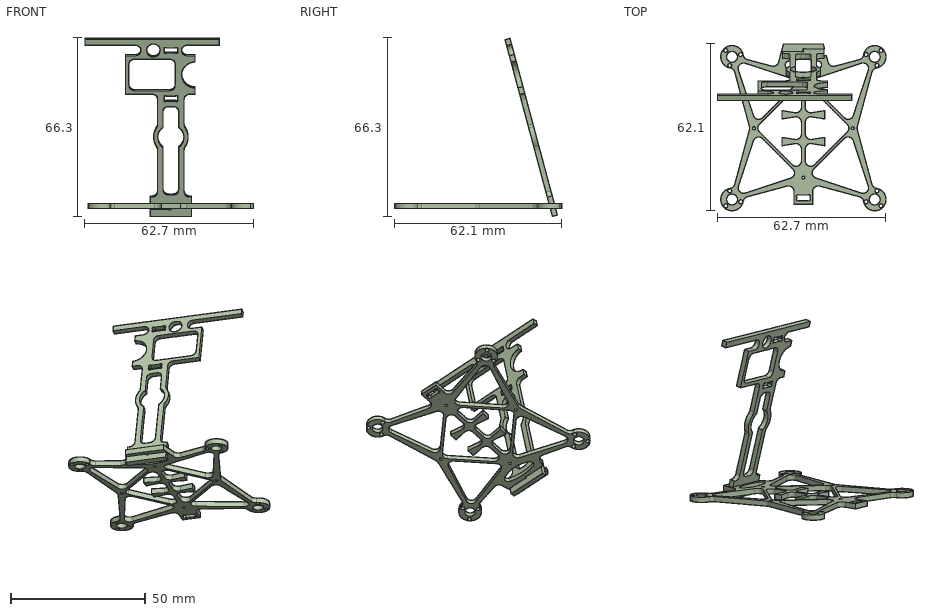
import cadquery as cq
import math

thickness = 2.0
round_radius = 2.0
ear_radius = 0.5
strap_length, strap_width = 4.9, 2.0
near = 0.05

motor_offset = 26.5
ring_radius = 4.25
motor_hole_diameter = 4.0
screw_hole_diameter = 1.4
screw_circle_radius = 3.3
waist = 19.95
arm_angle = math.radians(15)
arm_hole_slope = 0.33
arm_hole_waist = 17.0
strut_width = 1.0
strut_reach = 17.7
pin_hole_diameter = 1.0
pin_hole_offset = 18.35

spine_width = 1.5
bar_offset = 5.0
bar_half_length = 7.95
bar_end_half_height = 1.6
bar_root_half_height = 0.3

tail_half_width = 3.5
tail_end = -28.4
tail_strap_y = -25.9
tab_end = 31.35
tab_end_half_width = 7.4
lens_half_width = 8.3
lens_back, lens_tip, lens_front = 25.6, 23.95, 20.8
lens_tip_radius = 1.3

tilt_degrees = 15.0
mast_foot_y, mast_foot_z = 29.8, -2.4
mast_length = 68.1
foot_half_width, foot_height = 7.7, 7.4
column_half_width = 5.0
window_half_width, window_bottom, window_top = 2.9, 8.2, 42.2
bulge_height = 30.35
bulge_outer_radius, bulge_inner_radius = 6.4, 4.85
frame_left, frame_right = -16.9, 9.0
frame_bottom, frame_top = 47.0, 61.85
opening_left, opening_right = -15.6, 1.6
opening_height = 12.05
bite_radius = 5.0
neck_left, neck_right = -11.15, 4.0
crossbar_left, crossbar_right = -31.95, 18.05
round_hole_diameter, round_hole_x = 5.0, -6.5
lower_strap_height = 45.3

base_slot_front, base_slot_back = 27.45, 29.5
mast_slot_bottom, mast_slot_top = 2.65, 4.65
joint_reach = 13.25


def block(x0, x1, y0, y1, height=thickness):
    """Upright block between two corners, standing on Z = 0."""
    return cq.Workplane().box(x1 - x0, y1 - y0, height, centered=False).translate((x0, y0, 0))


def disc(x, y, radius):
    return cq.Workplane().center(x, y).circle(radius).extrude(thickness)


def prism(points):
    return cq.Workplane().polyline(points).close().extrude(thickness)


def round_corners(body, chosen=lambda corner: True):
    """Round the upright edges whose middle point passes the test."""
    corners = body.edges("|Z").filter(lambda edge: chosen(edge.Center()))
    return corners.fillet(round_radius)


def eared_slot(x0, x1, y0, y1):
    """Rectangular cutter with a relief circle passing through each corner."""
    inset = ear_radius / math.sqrt(2)
    slot = block(x0, x1, y0, y1)
    for x in (x0 + inset, x1 - inset):
        for y in (y0 + inset, y1 - inset):
            slot = slot.union(disc(x, y, ear_radius))
    return slot


def strap_slot(y):
    return eared_slot(-strap_length / 2, strap_length / 2, y - strap_width / 2, y + strap_width / 2)


def tilt(body):
    """Move the flat mast into its leaning place, rear face on the foot edge."""
    standing = body.rotate((0, 0, 0), (1, 0, 0), 90)
    leaning = standing.rotate((0, 0, 0), (1, 0, 0), tilt_degrees)
    return leaning.translate((0, mast_foot_y, mast_foot_z))


def base_outline():
    corner = waist / (1 - math.tan(arm_angle))
    star = prism([
        (waist, 0), (corner, corner), (0, waist), (-corner, corner),
        (-waist, 0), (-corner, -corner), (0, -waist), (corner, -corner),
    ])
    tab_root = tab_end_half_width + (tab_end - waist) * math.tan(arm_angle)
    tab = prism([
        (-tab_root, waist), (tab_root, waist),
        (tab_end_half_width, tab_end), (-tab_end_half_width, tab_end),
    ])
    tail = block(-tail_half_width, tail_half_width, tail_end, -waist)
    outline = star.union(tab).union(tail)
    for x in (-motor_offset, motor_offset):
        for y in (-motor_offset, motor_offset):
            outline = outline.union(disc(x, y, ring_radius))

    def rounded(corner_point):
        between_rings = abs(corner_point.x) < motor_offset - ring_radius
        at_tab_end = between_rings and corner_point.y > tab_end - near
        at_tail_end = between_rings and corner_point.y < tail_end + near
        on_ring_seam = abs(corner_point.x) > motor_offset + ring_radius - near
        return not (at_tab_end or at_tail_end or on_ring_seam)

    return round_corners(outline, rounded)


def arm_opening():
    """Three-sided opening in the +X +Y arm."""
    strut_outside = strut_reach + strut_width * math.sqrt(2)
    outer = arm_hole_waist / (1 - arm_hole_slope)
    near_axis = (strut_outside - arm_hole_waist) / (1 + arm_hole_slope)
    far = strut_outside - near_axis
    return round_corners(prism([(far, near_axis), (outer, outer), (near_axis, far)]))


def centre_opening():
    """Diamond between the struts, less the spine and its flared crossbars."""
    diamond = prism([(strut_reach, 0), (0, strut_reach), (-strut_reach, 0), (0, -strut_reach)])
    ribs = block(-spine_width / 2, spine_width / 2, -strut_reach, strut_reach)
    for y in (-bar_offset, bar_offset):
        bar = prism([
            (-bar_half_length, y - bar_end_half_height), (0, y - bar_root_half_height),
            (bar_half_length, y - bar_end_half_height), (bar_half_length, y + bar_end_half_height),
            (0, y + bar_root_half_height), (-bar_half_length, y + bar_end_half_height),
        ])
        ribs = ribs.union(bar)
    return round_corners(diamond.cut(ribs), lambda corner: abs(abs(corner.x) - bar_half_length) > near)


def lens_opening():
    return (
        cq.Workplane()
        .moveTo(-lens_half_width, lens_tip)
        .threePointArc((0, lens_front), (lens_half_width, lens_tip))
        .threePointArc((0, lens_back), (-lens_half_width, lens_tip))
        .close()
        .extrude(thickness)
        .edges("|Z")
        .fillet(lens_tip_radius)
    )


def drill_motor_mounts(plate):
    for x_sign in (-1, 1):
        for y_sign in (-1, 1):
            x, y = x_sign * motor_offset, y_sign * motor_offset
            plate = plate.cut(disc(x, y, motor_hole_diameter / 2))
            outward = math.atan2(y, x)
            for turn in range(3):
                angle = outward + turn * 2 * math.pi / 3
                screw_x = x + screw_circle_radius * math.cos(angle)
                screw_y = y + screw_circle_radius * math.sin(angle)
                plate = plate.cut(disc(screw_x, screw_y, screw_hole_diameter / 2))
    return plate


def make_base():
    plate = base_outline()
    for quarter in range(4):
        plate = plate.cut(arm_opening().rotate((0, 0, 0), (0, 0, 1), quarter * 90))
        pin_hole = disc(pin_hole_offset, 0, pin_hole_diameter / 2)
        plate = plate.cut(pin_hole.rotate((0, 0, 0), (0, 0, 1), quarter * 90))
    plate = plate.cut(centre_opening()).cut(lens_opening()).cut(strap_slot(tail_strap_y))
    plate = drill_motor_mounts(plate)
    mast_path = tilt(block(0, joint_reach, 0, joint_reach))
    return plate.cut(eared_slot(0, joint_reach, base_slot_front, base_slot_back)).cut(mast_path)


def mast_outline():
    gap_middle = frame_top + round_radius
    crossbar_bottom = gap_middle + round_radius
    bay_centres = (neck_left - round_radius, neck_right + round_radius)
    outline = block(-foot_half_width, foot_half_width, 0, foot_height)
    outline = outline.union(block(-column_half_width, column_half_width, 0, frame_bottom))
    outline = outline.union(disc(0, bulge_height, bulge_outer_radius))
    outline = outline.union(block(frame_left, frame_right, frame_bottom, frame_top))

    def beside_column(corner):
        return abs(abs(corner.x) - column_half_width) < near

    outline = round_corners(outline, beside_column)
    neck = block(*bay_centres, frame_top, crossbar_bottom)
    for x in bay_centres:
        neck = neck.cut(disc(x, gap_middle, round_radius))
    crossbar = block(crossbar_left, crossbar_right, crossbar_bottom, mast_length)
    return outline.union(neck).union(crossbar)


def make_mast():
    frame_middle = (frame_bottom + frame_top) / 2
    neck_middle = frame_top + round_radius
    window = round_corners(block(-window_half_width, window_half_width, window_bottom, window_top))
    opening = round_corners(block(
        opening_left, opening_right,
        frame_middle - opening_height / 2, frame_middle + opening_height / 2,
    ))
    mast = mast_outline().cut(window).cut(disc(0, bulge_height, bulge_inner_radius)).cut(opening)
    mast = mast.cut(disc(frame_right, frame_middle, bite_radius))
    mast = mast.cut(disc(round_hole_x, neck_middle, round_hole_diameter / 2))
    for y in (lower_strap_height, neck_middle):
        mast = mast.cut(strap_slot(y))
    mast = mast.cut(eared_slot(-joint_reach, 0, mast_slot_bottom, mast_slot_top))
    base_path = block(-joint_reach, 0, tab_end - joint_reach, tab_end)
    return tilt(mast).cut(base_path)


base = make_base().solids().val()
mast = make_mast().solids().val()

result = cq.Compound.makeCompound([base, mast])